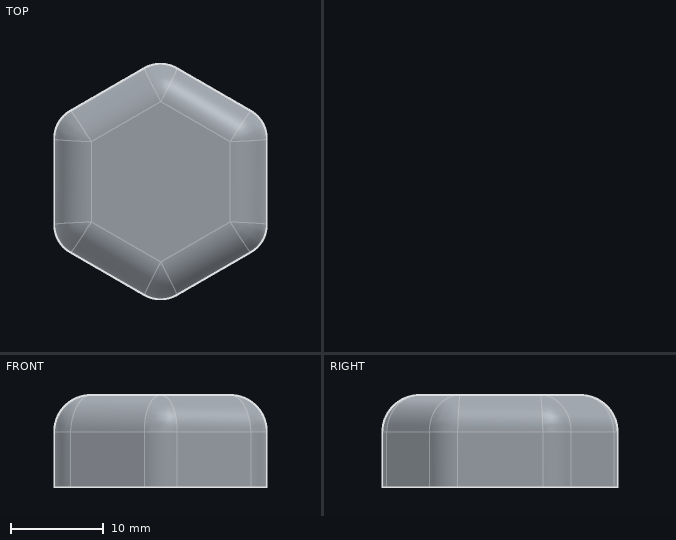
import cadquery as cq
import math

across_flats = 23.0
height = 10.0
corner_radius = 3.52
top_radius = 4.0

across_corners = across_flats / math.cos(math.pi / 6)


def hexagonal_block():
    """Plain hexagonal prism standing on the XY plane, with corners on the Y axis."""
    block = cq.Workplane("XY").polygon(6, across_corners).extrude(height)
    return block.rotate((0, 0, 0), (0, 0, 1), 90)


rounded_corners = hexagonal_block().edges("|Z").fillet(corner_radius)
result = rounded_corners.faces(">Z").edges().fillet(top_radius)